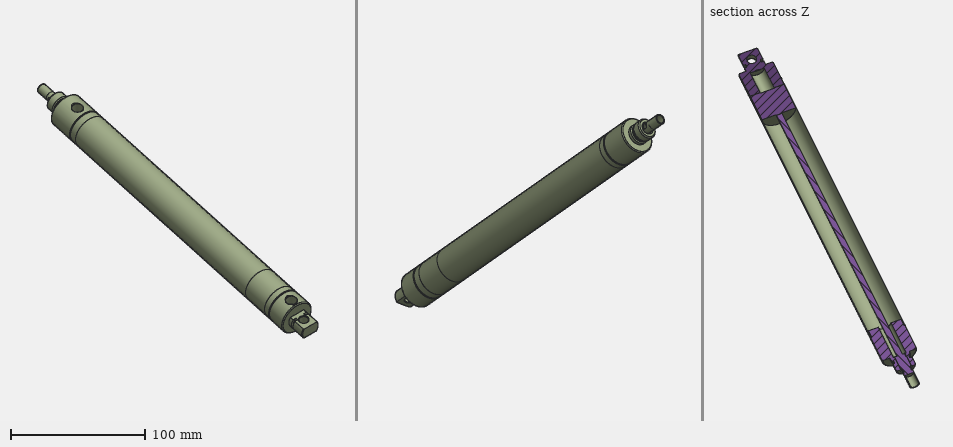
import cadquery as cq

overall_length = 320.68
front_tip = -overall_length / 2
rear_tip = overall_length / 2
rod_protrusion = 15.88
nose_length = 12.7
head_length = 22.9
tang_length = 15.88
rear_head_length = 16.0

nose_front = front_tip + rod_protrusion
front_face = nose_front + nose_length
front_joint = front_face + head_length
rear_face = rear_tip - tang_length
rear_joint = rear_face - rear_head_length

body_radius = 28.19 / 2
bore_radius = 26.99 / 2
spigot_length = 6.0
joint_relief_width = 0.5
joint_relief_depth = 0.35
end_chamfer = 0.8

thread_radius = 15.88 / 2
thread_chamfer = 0.9
nose_groove_start = 7.7
nose_groove_width = 1.7
nose_groove_radius = 6.35
rod_seat_chamfer = 1.0
tang_thickness = 9.525
tang_groove_start = 3.2
tang_groove_width = 2.0
tang_groove_radius = 6.0
tang_end_chamfer = 0.6
pivot_hole_radius = 3.5
pivot_hole_chamfer = 0.5

port_radius = 4.35
port_chamfer = 0.7
front_port_x = front_face + 14.4
rear_port_x = rear_face - 6.8
front_passage_radius = 5.0
rear_passage_radius = 5.5
rear_passage_depth = 13.0

rod_radius = 7.94 / 2
rod_flat_start = 12.7
rod_flat_gap = 6.35
rod_tip_hole_radius = 6.35 / 2
rod_tip_hole_depth = 10.0
rod_neck_radius = 2.4
piston_length = 22.6
piston_rear = rear_joint - spigot_length
piston_front = piston_rear - piston_length


def turned(plane, profile):
    """Solid of revolution about X from (x, radius) points."""
    return cq.Workplane(plane).polyline(profile).close().revolve(360, (0, 0, 0), (1, 0, 0))


def cross_hole(x, radius, bottom, top):
    """Vertical cylinder centred on the axis at x, between two heights."""
    return cq.Workplane("XY", origin=(x, 0, bottom)).circle(radius).extrude(top - bottom)


def countersink(x, hole_radius, chamfer, mouth, direction):
    """45 degree cone that widens a vertical hole by the chamfer at the mouth height."""
    cone = cq.Solid.makeCone(
        hole_radius + chamfer, hole_radius, chamfer, cq.Vector(x, 0, mouth), cq.Vector(0, 0, -direction)
    )
    return cq.Workplane(cone)


def cut_port(head, x, bottom):
    """Cut a countersunk air port from the top of a head down to the given height."""
    head = head.cut(cross_hole(x, port_radius, bottom, body_radius))
    return head.cut(countersink(x, port_radius, port_chamfer, body_radius, 1))


def make_front_head():
    groove_start = nose_front + nose_groove_start
    groove_end = groove_start + nose_groove_width
    spigot_end = front_joint + spigot_length
    profile = [
        (nose_front, rod_radius + rod_seat_chamfer),
        (nose_front, thread_radius - thread_chamfer),
        (nose_front + thread_chamfer, thread_radius),
        (groove_start - thread_chamfer, thread_radius),
        (groove_start, thread_radius - thread_chamfer),
        (groove_start, nose_groove_radius),
        (groove_end, nose_groove_radius),
        (groove_end, thread_radius - thread_chamfer),
        (groove_end + thread_chamfer, thread_radius),
        (front_face, thread_radius),
        (front_face, body_radius - end_chamfer),
        (front_face + end_chamfer, body_radius),
        (front_joint - joint_relief_width, body_radius),
        (front_joint, body_radius - joint_relief_depth),
        (front_joint, bore_radius),
        (spigot_end, bore_radius),
        (spigot_end, front_passage_radius),
        (front_face, front_passage_radius),
        (front_face, rod_radius),
        (nose_front + rod_seat_chamfer, rod_radius),
    ]
    head = turned("XY", [(x, -r) for x, r in profile])
    return cut_port(head, front_port_x, 0)


def make_tube():
    profile = [
        (front_joint, bore_radius),
        (front_joint, body_radius - joint_relief_depth),
        (front_joint + joint_relief_width, body_radius),
        (rear_joint - joint_relief_width, body_radius),
        (rear_joint, body_radius - joint_relief_depth),
        (rear_joint, bore_radius),
    ]
    return turned("XZ", profile)


def make_rear_head():
    groove_start = rear_face + tang_groove_start
    groove_end = groove_start + tang_groove_width
    spigot_end = rear_joint - spigot_length
    passage_end = rear_joint + rear_passage_depth
    profile = [
        (spigot_end, rear_passage_radius),
        (spigot_end, bore_radius),
        (rear_joint, bore_radius),
        (rear_joint, body_radius - joint_relief_depth),
        (rear_joint + joint_relief_width, body_radius),
        (rear_face - end_chamfer, body_radius),
        (rear_face, body_radius - end_chamfer),
        (rear_face, thread_radius),
        (groove_start, thread_radius),
        (groove_start, tang_groove_radius),
        (groove_end, tang_groove_radius),
        (groove_end, thread_radius),
        (rear_tip - tang_end_chamfer, thread_radius),
        (rear_tip, thread_radius - tang_end_chamfer),
        (rear_tip, 0),
        (passage_end, 0),
        (passage_end, rear_passage_radius),
    ]
    head = turned("XZ", profile)
    pivot_x = rear_tip - thread_radius
    for side in (1, -1):
        slab = cq.Workplane("XY").box(tang_length, 2 * thread_radius, thread_radius)
        offset = (tang_thickness + thread_radius) / 2
        head = head.cut(slab.translate((rear_face + tang_length / 2, 0, side * offset)))
        mouth = side * tang_thickness / 2
        head = head.cut(countersink(pivot_x, pivot_hole_radius, pivot_hole_chamfer, mouth, side))
    head = head.cut(cross_hole(pivot_x, pivot_hole_radius, -thread_radius, thread_radius))
    return cut_port(head, rear_port_x, 0)


def make_rod():
    profile = [
        (front_tip + rod_tip_hole_depth, 0),
        (front_tip + rod_tip_hole_depth, rod_tip_hole_radius),
        (front_tip, rod_tip_hole_radius),
        (front_tip, rod_radius),
        (front_face, rod_radius),
        (front_face, rod_neck_radius),
        (piston_front, rod_neck_radius),
        (piston_front, 0),
    ]
    rod = turned("XZ", profile)
    flat_length = rod_protrusion - rod_flat_start
    for side in (1, -1):
        slab = cq.Workplane("XY").box(flat_length, rod_radius, 2 * rod_radius)
        offset = (rod_flat_gap + rod_radius) / 2
        rod = rod.cut(slab.translate((nose_front - flat_length / 2, side * offset, 0)))
    return rod


def make_piston():
    return cq.Workplane("YZ", origin=(piston_front, 0, 0)).circle(bore_radius).extrude(piston_length)


bodies = [make_front_head(), make_tube(), make_rear_head(), make_rod(), make_piston()]
result = cq.Compound.makeCompound([body.val() for body in bodies])